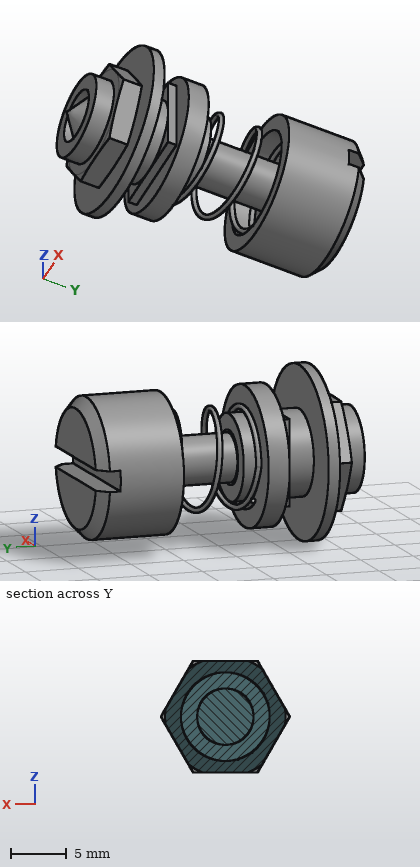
import cadquery as cq
import math

total_length = 27.0

barrel_diameter = 8.0
barrel_start = 1.0
neck_start = 8.15
flange_start = 9.0
flange_thickness = 2.0
flange_end = flange_start + flange_thickness
bushing_end = 12.47
square_width = barrel_diameter

nut_start = 2.75
nut_thickness = 2.0
nut_across_flats = 10.0
nut_chamfer_angle = 7.0
washer_start = nut_start + nut_thickness
washer_thickness = 1.08
washer_diameter = 16.0

knob_diameter = 13.0
knob_length = 8.0
knob_start = total_length - knob_length
knob_chamfer = 1.0
slot_width = 1.9
slot_depth = 2.0
stem_diameter = 4.5
shank_diameter = 5.0
cone_length = 2.0

wire_diameter = 0.49
wire_radius = wire_diameter / 2
coil_radius = 4.5
coil_pitch = 3.8
active_turns = 2.5
end_coil_angle = 310.0
helix_height = coil_pitch * active_turns
recess_diameter = 10.0
recess_floor = flange_end + helix_height + wire_diameter


def workplane_at(y):
    """Workplane across the axis at height y, with its normal along +Y."""
    return cq.Workplane(cq.Plane(origin=(0, y, 0), xDir=(1, 0, 0), normal=(0, 1, 0)))


def cylinder(diameter, start, end):
    return workplane_at(start).circle(diameter / 2).extrude(end - start)


def make_bushing():
    barrel = cylinder(barrel_diameter, barrel_start, bushing_end)
    neck = workplane_at(neck_start).rect(square_width, square_width).extrude(flange_start - neck_start)
    flange = cylinder(knob_diameter, flange_start, flange_end)
    bore = cylinder(shank_diameter, barrel_start, bushing_end)
    return barrel.union(neck).union(flange).cut(bore)


def make_washer():
    washer_end = washer_start + washer_thickness
    disc = cylinder(washer_diameter, washer_start, washer_end)
    return disc.cut(cylinder(barrel_diameter, washer_start, washer_end))


def make_nut():
    corner_radius = nut_across_flats / 2 / math.cos(math.radians(30))
    face_radius = nut_across_flats / 2
    drop = (corner_radius - face_radius) * math.tan(math.radians(nut_chamfer_angle))
    hexagon = workplane_at(nut_start).polygon(6, 2 * corner_radius).extrude(nut_thickness)
    envelope = (
        cq.Workplane("XY")
        .moveTo(0, nut_start)
        .lineTo(face_radius, nut_start)
        .lineTo(corner_radius, nut_start + drop)
        .lineTo(corner_radius, washer_start - drop)
        .lineTo(face_radius, washer_start)
        .lineTo(0, washer_start)
        .close()
        .revolve(360, (0, 0), (0, 1))
    )
    bore = cylinder(barrel_diameter, nut_start, washer_start)
    return hexagon.intersect(envelope).cut(bore)


def make_screw():
    knob = cylinder(knob_diameter, knob_start, total_length).faces(">Y").chamfer(knob_chamfer)
    recess = cylinder(recess_diameter, knob_start, recess_floor)
    slot = workplane_at(total_length - slot_depth).rect(knob_diameter, slot_width).extrude(slot_depth)
    stem = cylinder(stem_diameter, bushing_end, recess_floor)
    shank = (
        cq.Workplane("XY")
        .lineTo(shank_diameter / 2, cone_length)
        .lineTo(shank_diameter / 2, bushing_end)
        .lineTo(0, bushing_end)
        .close()
        .revolve(360, (0, 0), (0, 1))
    )
    return knob.cut(recess).cut(slot).union(stem).union(shank)


def make_end_coil(sweep_angle):
    """Flat coil about Z, starting at +X."""
    wire_section = cq.Workplane("XZ").center(coil_radius, 0).circle(wire_radius)
    return wire_section.revolve(sweep_angle, (-coil_radius, 0), (-coil_radius, 1))


def make_spring():
    """Left-hand spring, wound about Z and then turned onto the Y axis."""
    helix = cq.Wire.makeHelix(coil_pitch, helix_height, coil_radius, lefthand=True)
    coils = cq.Workplane("XZ").center(coil_radius, 0).circle(wire_radius).sweep(helix, isFrenet=True)
    lower_coil = make_end_coil(end_coil_angle)
    upper_coil = (
        lower_coil.mirror("XZ")
        .rotate((0, 0, 0), (0, 0, 1), -360 * active_turns)
        .translate((0, 0, helix_height))
    )
    return (
        coils.union(lower_coil)
        .union(upper_coil)
        .rotate((0, 0, 0), (0, 0, 1), 180)
        .rotate((0, 0, 0), (1, 0, 0), -90)
        .translate((0, flange_end + wire_radius, 0))
    )


bushing = make_bushing()
washer = make_washer()
nut = make_nut()
screw = make_screw()
spring = make_spring()

bodies = [bushing, washer, nut, screw, spring]
result = cq.Compound.makeCompound([body.solids().val() for body in bodies])